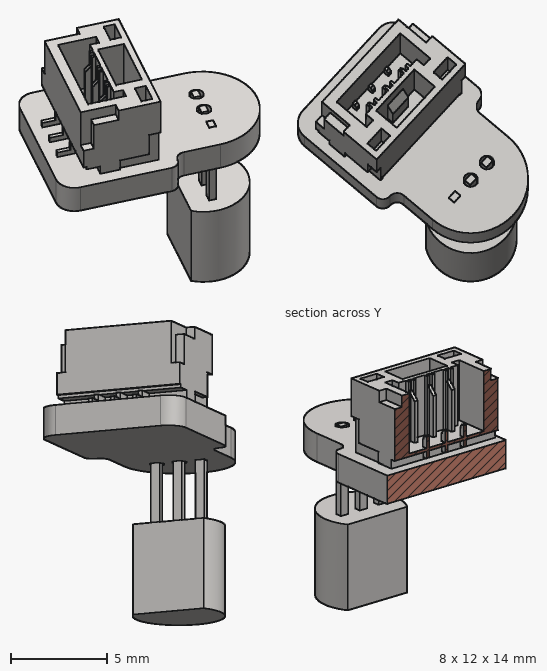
import cadquery as cq
import math


board_thickness = 1.6
lobe_radius = 3.0
board_half_width = 4.0
board_front_y = -9.0
shoulder_y = -2.5
shoulder_radius = (board_half_width - lobe_radius) / 2
corner_radius = 1.0
lead_hole_diameter = 0.75
hole_row_x = 0.06
hole_row_y = 0.07

transistor_x = 0.04
transistor_y = 0.05
transistor_radius = 2.41
flat_distance = 1.34
transistor_height = 4.8
transistor_gap = 3.37
lead_pitch = 1.27
lead_width = 0.5
lead_depth = 0.38
lead_protrusion = 0.03
lead_steps = (-1, 0, 1)
transistor_top_z = -board_thickness - transistor_gap

housing_width = 6.98
housing_depth = 4.22
housing_back_y = -3.43
housing_front_y = housing_back_y - housing_depth
housing_top_z = 4.21
underside_z = 0.15
front_lip_z = 0.82
front_lip_depth = 0.17
contact_shelf_z = 0.65
contact_shelf_y = -6.73
pocket_floor_z = 0.85
ramp_slope = math.tan(math.radians(60))

cavity_half_width = 2.5
cavity_front_y = -7.08
cavity_back_y = -5.5
ear_width = 0.5
ear_back_y = -5.0
post_width = 0.5
post_depth = 0.21

latch_pocket_width = 3.0
latch_pocket_back_y = -3.8
latch_pocket_front_y = -5.22
latch_width = 1.22
latch_depth = 0.38
latch_top_z = 3.0

corner_pocket_width = 1.1
corner_pocket_depth = 0.6
corner_pocket_x = 2.6
corner_pocket_y = -4.07

step_cut_width = 0.48
step_back_y = -5.73
step_shelf_z = housing_top_z - 0.64
step_bottom_z = 1.97

tab_recess_depth = 0.3
tab_thickness = 0.17
tab_post_depth = 0.63
tab_post_z = 2.1
tab_base_depth = 2.22
tab_base_z = 0.78

contact_pitch = 1.25
contact_width = 0.21
contact_steps = (-1, 0, 1)
foot_front_y = -8.38
foot_thickness = 0.31
arm_bottom_z = 0.27
drop_back_y = -7.38
blade_thickness = 0.1
blade_tip_y = -6.03
blade_top_z = 3.6
spur_back_y = -6.71
spur_crest_y = -6.84
spur_front_y = -6.99
spur_top_z = 1.5

seat_gap = 0.02


def box(x_min, x_max, y_min, y_max, z_min, z_max):
    """Axis-aligned block between the given limits."""
    return cq.Workplane("XY").box(
        x_max - x_min, y_max - y_min, z_max - z_min, centered=False
    ).translate((x_min, y_min, z_min))


def side_profile(points, x_min, x_max):
    """Extrude an outline of (Y, Z) points along X."""
    return cq.Workplane("YZ").polyline(points).close().extrude(x_max - x_min).translate((x_min, 0, 0))


def mirrored(shape):
    """The shape together with its mirror image across X = 0."""
    return shape.union(shape.mirror("YZ"))


def lead(step):
    """One transistor lead, from the body up through the board."""
    x = transistor_x + step * lead_pitch
    return box(
        x - lead_width / 2, x + lead_width / 2,
        transistor_y - lead_depth / 2, transistor_y + lead_depth / 2,
        transistor_top_z, lead_protrusion,
    )


def make_board():
    neck_x = lobe_radius
    diagonal = shoulder_radius * math.sqrt(0.5)
    blend_x = neck_x + shoulder_radius
    blend_y = shoulder_y + shoulder_radius
    round_y = shoulder_y - shoulder_radius
    outline = (
        cq.Workplane("XY")
        .moveTo(-neck_x, 0)
        .threePointArc((0, lobe_radius), (neck_x, 0))
        .lineTo(neck_x, blend_y)
        .threePointArc((blend_x - diagonal, blend_y - diagonal), (blend_x, shoulder_y))
        .threePointArc((blend_x + diagonal, round_y + diagonal), (board_half_width, round_y))
        .lineTo(board_half_width, board_front_y)
        .lineTo(-board_half_width, board_front_y)
        .lineTo(-board_half_width, round_y)
        .threePointArc((-blend_x - diagonal, round_y + diagonal), (-blend_x, shoulder_y))
        .threePointArc((-blend_x + diagonal, blend_y - diagonal), (-neck_x, blend_y))
        .close()
    )
    board = outline.extrude(-board_thickness)
    board = board.edges("|Z and <Y").fillet(corner_radius)

    round_holes = (
        cq.Workplane("XY")
        .pushPoints([(hole_row_x - lead_pitch, hole_row_y), (hole_row_x, hole_row_y)])
        .circle(lead_hole_diameter / 2)
        .extrude(-board_thickness)
    )
    return board.cut(round_holes).cut(lead(lead_steps[-1]))


def make_transistor():
    half_flat = math.sqrt(transistor_radius**2 - flat_distance**2)
    body = (
        cq.Workplane("XY")
        .moveTo(-half_flat, -flat_distance)
        .threePointArc((0, transistor_radius), (half_flat, -flat_distance))
        .close()
        .extrude(-transistor_height)
        .translate((transistor_x, transistor_y, transistor_top_z))
    )
    for step in lead_steps:
        body = body.union(lead(step))
    return body


def housing_block():
    """Block with a lip and a contact shelf along its lower front edge."""
    lip_y = housing_front_y + front_lip_depth
    points = [
        (housing_back_y, underside_z),
        (housing_back_y, housing_top_z),
        (housing_front_y, housing_top_z),
        (housing_front_y, front_lip_z),
        (lip_y, front_lip_z),
        (lip_y, contact_shelf_z),
        (contact_shelf_y, contact_shelf_z),
        (contact_shelf_y, underside_z),
    ]
    return side_profile(points, -housing_width / 2, housing_width / 2)


def mating_cavity():
    """Main cavity with two rear ears, less the posts that flank each contact."""
    cavity = box(
        -cavity_half_width, cavity_half_width, cavity_front_y, cavity_back_y, pocket_floor_z, housing_top_z
    )
    ear = box(
        cavity_half_width - ear_width, cavity_half_width, cavity_back_y, ear_back_y,
        pocket_floor_z, housing_top_z,
    )
    cavity = cavity.union(mirrored(ear))
    for step in contact_steps:
        x = step * contact_pitch
        for left, right in ((-post_width, -contact_width), (contact_width, post_width)):
            post = box(
                x + left / 2, x + right / 2, cavity_back_y - post_depth, cavity_back_y,
                pocket_floor_z, housing_top_z,
            )
            cavity = cavity.cut(post)
    return cavity


def latch_pocket():
    """Rear pocket, less the ramped latch on its front wall."""
    pocket = box(
        -latch_pocket_width / 2, latch_pocket_width / 2, latch_pocket_front_y, latch_pocket_back_y,
        pocket_floor_z, housing_top_z,
    )
    latch_back_y = latch_pocket_front_y + latch_depth
    latch = side_profile(
        [
            (latch_pocket_front_y, pocket_floor_z),
            (latch_pocket_front_y, latch_top_z),
            (latch_back_y, latch_top_z - latch_depth * ramp_slope),
            (latch_back_y, pocket_floor_z),
        ],
        -latch_width / 2, latch_width / 2,
    )
    return pocket.cut(latch)


def corner_pockets():
    pocket = box(
        corner_pocket_x - corner_pocket_width / 2, corner_pocket_x + corner_pocket_width / 2,
        corner_pocket_y - corner_pocket_depth / 2, corner_pocket_y + corner_pocket_depth / 2,
        tab_post_z, housing_top_z,
    )
    return mirrored(pocket)


def step_cuts():
    """L-shaped cuts in the front upper corners of both sides."""
    points = [
        (step_back_y, housing_top_z),
        (step_back_y, step_shelf_z),
        (cavity_front_y, step_shelf_z),
        (cavity_front_y, step_bottom_z),
        (housing_front_y, step_bottom_z),
        (housing_front_y, housing_top_z),
    ]
    return mirrored(side_profile(points, housing_width / 2 - step_cut_width, housing_width / 2))


def tab_shape(x_min, x_max, bottom_z):
    """L-shaped plate at the rear lower side of the housing, on both sides."""
    points = [
        (housing_back_y, bottom_z),
        (housing_back_y, tab_post_z),
        (housing_back_y - tab_post_depth, tab_post_z),
        (housing_back_y - tab_post_depth, tab_base_z),
        (housing_back_y - tab_base_depth, tab_base_z),
        (housing_back_y - tab_base_depth, bottom_z),
    ]
    return mirrored(side_profile(points, x_min, x_max))


def contact(x):
    """One contact: outer solder foot, sloped mating blade and a small spur on the cavity floor."""
    foot = side_profile(
        [
            (contact_shelf_y, contact_shelf_z),
            (contact_shelf_y, arm_bottom_z),
            (drop_back_y, arm_bottom_z),
            (drop_back_y, 0),
            (foot_front_y, 0),
            (foot_front_y, foot_thickness),
            (housing_front_y, foot_thickness),
            (housing_front_y, contact_shelf_z),
        ],
        x - contact_width / 2, x + contact_width / 2,
    )
    blade_face_y = cavity_back_y - blade_thickness
    blade_tip_z = blade_top_z - (blade_face_y - blade_tip_y)
    blade = side_profile(
        [
            (cavity_back_y, pocket_floor_z),
            (cavity_back_y, blade_top_z),
            (blade_face_y, blade_top_z),
            (blade_tip_y, blade_tip_z),
            (blade_tip_y, pocket_floor_z),
        ],
        x - contact_width / 2, x + contact_width / 2,
    )
    spur = side_profile(
        [
            (spur_front_y, pocket_floor_z),
            (spur_front_y, spur_top_z),
            (spur_crest_y, spur_top_z),
            (spur_back_y, spur_top_z - (spur_back_y - spur_crest_y) * ramp_slope),
            (spur_back_y, pocket_floor_z),
        ],
        x - contact_width / 2, x + contact_width / 2,
    )
    return foot, blade, spur


def make_connector():
    connector = housing_block()
    for pocket in (mating_cavity(), latch_pocket(), corner_pockets(), step_cuts()):
        connector = connector.cut(pocket)

    tab_outer_x = housing_width / 2 - tab_recess_depth
    connector = connector.cut(tab_shape(tab_outer_x, housing_width / 2, underside_z))
    connector = connector.union(tab_shape(tab_outer_x - tab_thickness, tab_outer_x, 0))

    for step in contact_steps:
        for piece in contact(step * contact_pitch):
            connector = connector.union(piece)
    return connector


board = make_board()
transistor = make_transistor()
connector = make_connector().translate((0, 0, seat_gap))

result = cq.Compound.makeCompound(
    [board.solids().val(), transistor.solids().val(), connector.solids().val()]
)